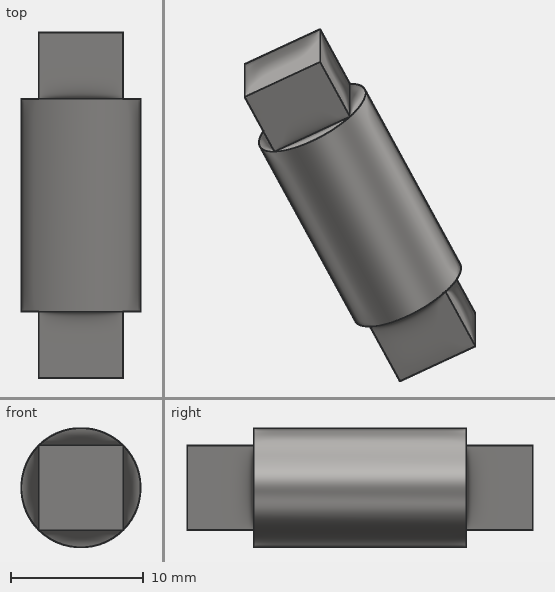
import cadquery as cq
import math

body_diameter = 9.0
body_length = 16.0
end_length = 5.0

square_side = body_diameter / math.sqrt(2)


def make_body():
    """Round middle section, centred on the origin with its axis along Y."""
    return cq.Workplane("XZ", origin=(0, body_length / 2, 0)).circle(body_diameter / 2).extrude(body_length)


def add_square_end(part, face_selector):
    """Square end standing on the selected flat face of the body."""
    return part.faces(face_selector).workplane().rect(square_side, square_side).extrude(end_length)


result = make_body()
for end_face in ("<Y", ">Y"):
    result = add_square_end(result, end_face)